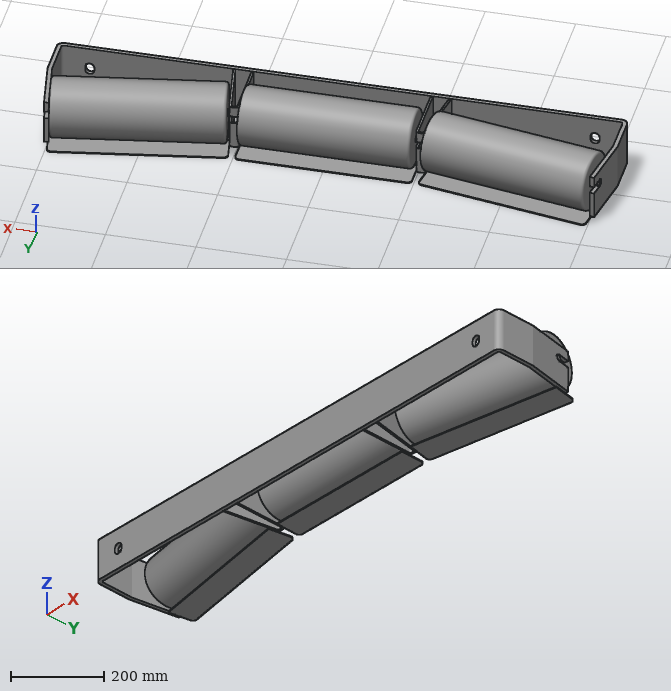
import cadquery as cq
import math

frame_length = 1260.0
plate_thickness = 10.0
plate_height = 103.0
corner_radius = 15.0
bend_height = 101.0
arm_tip_y = 227.0
roller_tilt = 10.0

guard_thickness = 3.0
roller_diameter = 134.0
roller_gap = 4.4
roller_edge_radius = 6.0
guard_corner_radius = 10.0
overall_height = 140.0

support_span = 390.0
middle_axis_y = 126.0
side_axis_x = 413.0
side_axis_y = 160.0

bracket_thickness = 5.0
bracket_back_y = 151.0
bracket_inner_bend = 4.0

shaft_diameter = 16.0

bolt_slot_width = 20.0
bolt_slot_height = 26.0
bolt_slot_spacing = 1116.0

tilt = math.radians(roller_tilt)
roller_radius = roller_diameter / 2
roller_length = support_span - 2 * roller_gap
axis_z = overall_height - roller_radius
plate_bottom = guard_thickness
plate_middle = plate_bottom + plate_height / 2
half_length = frame_length / 2


def at_station(body, side):
    """Move a body modelled about the origin to the left (-1), middle (0) or right (1) roller station."""
    axis_y = side_axis_y if side else middle_axis_y
    turned = body.rotate((0, 0, 0), (0, 0, 1), side * roller_tilt)
    return turned.translate((side * side_axis_x, axis_y, 0))


def shaft_slot(side, end):
    """Round-bottomed slot, open toward +Y, that receives the shaft at one end (-1 or 1) of a roller."""
    width = 2 * plate_thickness
    mouth = cq.Workplane("XY").box(width, roller_radius, shaft_diameter, centered=(True, False, True))
    seat = cq.Workplane("YZ").circle(shaft_diameter / 2).extrude(width / 2, both=True)
    slot = mouth.union(seat).translate((end * (support_span + plate_thickness) / 2, 0, axis_z))
    return at_station(slot, side)


def make_frame():
    """Strip bent into a channel whose arm tips lean in to stay square to the side rollers."""
    lean = arm_tip_y - bend_height
    tip_x = half_length - lean * math.tan(tilt)
    inner_x = half_length - plate_thickness
    half = (
        cq.Workplane("XY")
        .workplane(offset=plate_bottom)
        .polyline([
            (0, 0),
            (half_length, 0),
            (half_length, bend_height),
            (tip_x, arm_tip_y),
            (tip_x - plate_thickness * math.cos(tilt), arm_tip_y - plate_thickness * math.sin(tilt)),
            (inner_x, bend_height - plate_thickness * math.tan(tilt / 2)),
            (inner_x, plate_thickness),
            (0, plate_thickness),
        ])
        .close()
        .extrude(plate_height)
    )
    outer_corner = cq.selectors.NearestToPointSelector((half_length, 0, plate_middle))
    inner_corner = cq.selectors.NearestToPointSelector((inner_x, plate_thickness, plate_middle))
    half = half.edges("|Z").edges(outer_corner).fillet(corner_radius)
    half = half.edges("|Z").edges(inner_corner).fillet(corner_radius - plate_thickness)
    frame = half.union(half.mirror("YZ"))

    bolt_slots = (
        cq.Workplane("XZ")
        .pushPoints([(side * bolt_slot_spacing / 2, plate_middle) for side in (-1, 1)])
        .slot2D(bolt_slot_height, bolt_slot_width, 90)
        .extrude(-plate_thickness)
    )
    frame = frame.cut(bolt_slots)
    for side in (-1, 1):
        frame = frame.cut(shaft_slot(side, side))
    return frame


def bracket_block(inset, bend_radius):
    """Solid between the two leg faces and the back of the right bracket, all moved in by an inset."""
    straight_x = support_span / 2 + inset
    back_y = bracket_back_y - inset
    foot_y = plate_thickness
    reach = support_span / 2 + inset
    face_x = side_axis_x - reach * math.cos(tilt)
    face_y = side_axis_y - reach * math.sin(tilt)

    def leaning_x(y):
        return face_x - (y - face_y) * math.tan(tilt)

    return (
        cq.Workplane("XY")
        .workplane(offset=plate_bottom)
        .polyline([
            (straight_x, foot_y),
            (leaning_x(foot_y), foot_y),
            (leaning_x(back_y), back_y),
            (straight_x, back_y),
        ])
        .close()
        .extrude(plate_height)
        .edges("|Z and >Y")
        .fillet(bend_radius)
    )


def make_bracket():
    """Right-hand U bracket: a straight leg, a back and a leaning leg, open toward the frame."""
    outer = bracket_block(0, bracket_inner_bend + bracket_thickness)
    inner = bracket_block(bracket_thickness, bracket_inner_bend)
    bracket = outer.cut(inner)
    return bracket.cut(shaft_slot(0, 1)).cut(shaft_slot(1, -1))


def bar_along_x(diameter, length):
    """Round bar centred on the origin, lying along X."""
    return cq.Workplane("YZ").workplane(offset=-length / 2).circle(diameter / 2).extrude(length)


def make_roller():
    """Roller with rounded rims and a shaft that ends flush with the outside of the bracket legs."""
    drum = bar_along_x(roller_diameter, roller_length).faces("<X or >X").edges().fillet(roller_edge_radius)
    shaft = bar_along_x(shaft_diameter, support_span + 2 * bracket_thickness)
    return drum.union(shaft).translate((0, 0, axis_z))


def make_guard():
    """Thin plate below the back half of a roller, with rounded back corners."""
    plate = cq.Workplane("XY").box(
        support_span, roller_radius, guard_thickness, centered=(True, False, False)
    )
    return plate.edges("|Z and >Y").fillet(guard_corner_radius)


frame = make_frame()
right_bracket = make_bracket()
brackets = [right_bracket, right_bracket.mirror("YZ")]
rollers = [at_station(make_roller(), side) for side in (-1, 0, 1)]
guards = [at_station(make_guard(), side) for side in (-1, 0, 1)]

result = cq.Compound.makeCompound([body.val() for body in [frame, *brackets, *rollers, *guards]])